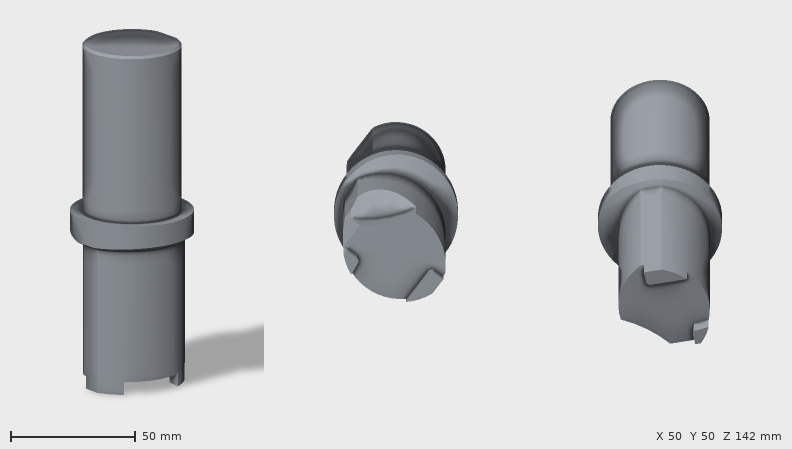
import cadquery as cq
import math

shank_height = 70.0
overall_height = 142.0
tip_bottom = shank_height - overall_height
tip_height = 5.4
body_bottom = tip_bottom + tip_height
flange_height = 11.9

shank_radius = 20.0
shank_chamfer = 1.0
flat_y = 18.0
flat_start = 3.8

flange_radius = 25.0
flange_taper = 60

groove_rim_radius = 21.3
groove_floor_radius = 20.3
groove_neck_radius = 19.9
groove_depth = 0.3
groove_neck_top = 0.3
groove_top = 0.5

body_left = -16.6
body_right = 20.0
body_half_depth = 22.0
body_flat_left = -3.7
body_flat_right = 4.8

slope_angle = 15
slope_y_at_bottom = 16.0

pocket_x = -39.8
pocket_y = 46.2
pocket_radius = 49.7
pocket_top = -54.5
pocket_cone_angle = 29

front_tip_left = -2.4
front_tip_right = 14.2
front_tip_inner = -15.6
front_tip_chamfer = 1.1
back_tip_left = 11.4
back_tip_inner_left = 9.7
back_tip_inner_right = 8.7
back_tip_chamfer_width = 0.7
back_tip_chamfer_length = 1.5


def body_outline(z):
    return (
        cq.Workplane("XY", origin=(0, 0, z))
        .moveTo(body_flat_left, -body_half_depth)
        .lineTo(body_flat_right, -body_half_depth)
        .threePointArc((body_right, 0), (body_flat_right, body_half_depth))
        .lineTo(body_flat_left, body_half_depth)
        .threePointArc((body_left, 0), (body_flat_left, -body_half_depth))
        .close()
    )


def make_shank():
    shank = cq.Workplane("XY").circle(shank_radius).extrude(shank_height)
    shank = shank.faces(">Z").chamfer(shank_chamfer)
    flat_cut = (
        cq.Workplane("XY", origin=(0, flat_y, flat_start))
        .rect(2 * shank_radius, shank_radius, centered=(True, False))
        .extrude(shank_height)
    )
    return shank.cut(flat_cut)


def make_flange():
    """Disc whose underside flares out from the body outline."""
    disc = cq.Workplane("XY").circle(flange_radius).extrude(-flange_height)
    flare = body_outline(-flange_height).extrude(flange_height, taper=-flange_taper)
    return disc.intersect(flare)


def make_relief_groove():
    return (
        cq.Workplane("XZ")
        .moveTo(groove_rim_radius, 0)
        .lineTo(groove_floor_radius, -groove_depth)
        .lineTo(groove_neck_radius, -groove_depth)
        .lineTo(groove_neck_radius, groove_neck_top)
        .lineTo(shank_radius, groove_top)
        .lineTo(groove_rim_radius, groove_top)
        .close()
        .revolve(360, (0, 0, 0), (0, 1, 0))
    )


def make_tips():
    front = (
        cq.Workplane("XY", origin=(0, 0, tip_bottom))
        .moveTo(front_tip_left, -body_half_depth)
        .lineTo(front_tip_right, -body_half_depth)
        .lineTo(front_tip_right, front_tip_inner)
        .lineTo(front_tip_left + front_tip_chamfer, front_tip_inner)
        .lineTo(front_tip_left, front_tip_inner - front_tip_chamfer)
        .close()
        .extrude(tip_height)
    )
    back = (
        cq.Workplane("XY", origin=(0, 0, tip_bottom))
        .moveTo(back_tip_left, body_half_depth)
        .lineTo(back_tip_left, back_tip_inner_left + back_tip_chamfer_length)
        .lineTo(back_tip_left + back_tip_chamfer_width, back_tip_inner_left)
        .lineTo(body_right, back_tip_inner_right)
        .lineTo(body_right, body_half_depth)
        .close()
        .extrude(tip_height)
    )
    return front.union(back)


def make_slope_cut():
    slope_height = (body_half_depth - slope_y_at_bottom) / math.tan(math.radians(slope_angle))
    return (
        cq.Workplane("YZ")
        .moveTo(slope_y_at_bottom, tip_bottom)
        .lineTo(body_half_depth, tip_bottom + slope_height)
        .lineTo(body_half_depth, tip_bottom)
        .close()
        .extrude(flange_radius, both=True)
    )


def make_pocket():
    cone_height = pocket_radius / math.tan(math.radians(pocket_cone_angle))
    return (
        cq.Workplane("XZ", origin=(pocket_x, pocket_y, 0))
        .moveTo(0, tip_bottom)
        .lineTo(pocket_radius, tip_bottom)
        .lineTo(pocket_radius, pocket_top)
        .lineTo(0, pocket_top + cone_height)
        .close()
        .revolve(360, (0, 0, 0), (0, 1, 0))
    )


def make_body():
    envelope = body_outline(tip_bottom).extrude(-tip_bottom - flange_height)
    column = body_outline(body_bottom).extrude(-body_bottom - flange_height)
    tips = envelope.intersect(make_tips())
    return column.union(tips).cut(make_slope_cut()).cut(make_pocket())


result = make_shank().union(make_flange()).cut(make_relief_groove()).union(make_body())